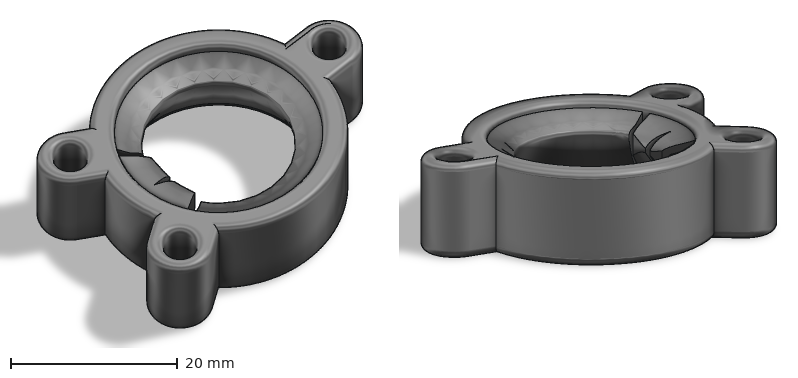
import cadquery as cq
import math

HEIGHT = 12.0
RING_DIAMETER = 31.0
BORE_RADIUS = 12.5

LUG_RADIUS = 4.0
EYE_DIAMETER = 4.0
TOP_EYE_Y = 18.53
LOWER_EYE_X = 9.4
LOWER_EYE_Y = -15.65
LOWER_LUG_TILT = 32.2
LUGS = [
    (0, TOP_EYE_Y, 90),
    (LOWER_EYE_X, LOWER_EYE_Y, LOWER_LUG_TILT - 90),
    (-LOWER_EYE_X, LOWER_EYE_Y, -LOWER_LUG_TILT - 90),
]
LUG_ROOT_LENGTH = 10.55

EYE_RIM_FLAT = 0.005
EDGE_ROUND = (LUG_RADIUS - EYE_DIAMETER / 2 - EYE_RIM_FLAT) / 2

SEAT_BOTTOM = EDGE_ROUND
SEAT_TOP = HEIGHT - EDGE_ROUND

LIP_NOSE_RADIUS = 9.2
LIP_NOSE_HEIGHT = 8.8
LIP_CREST_RADIUS = 9.45
LIP_CREST_HEIGHT = 9.33
LIP_KNEE_RADIUS = 10.35
LIP_KNEE_HEIGHT = 9.65
LIP_CHIN_RADIUS = 9.3
LIP_CHIN_HEIGHT = 8.15
LIP_FLARE_RADIUS = 9.8
LIP_FLARE_HEIGHT = 6.4
LIP_SKIRT_RADIUS = 11.05
LIP_SKIRT_HEIGHT = 3.7

TAB_KNEE_RADIUS = 10.8
TAB_KNEE_HEIGHT = 10.45
TAB_SHOULDER_RADIUS = 8.55
TAB_SHOULDER_HEIGHT = 9.6
TAB_NOSE_RADIUS = 7.6
TAB_NOSE_TOP = 8.5
TAB_NOSE_BOTTOM = 8.15
TAB_EDGE_Y = -7.65

NOTCH_WIDTH = 1.15
NOTCH_APEX_Y = -10.7

SLOT_WIDTH = 1.0
SLOT_TILT = 32.2
SLOT_START_X = 4.35
WEDGE_LENGTH = 25.3


def lug_plate(eye_x, eye_y, direction):
    """A round-ended lug that runs from its eye back into the ring."""
    root = (
        cq.Workplane("XY")
        .box(LUG_ROOT_LENGTH, 2 * LUG_RADIUS, HEIGHT, centered=(False, True, False))
        .translate((-LUG_ROOT_LENGTH, 0, 0))
    )
    end = cq.Workplane("XY").circle(LUG_RADIUS).extrude(HEIGHT)
    return root.union(end).rotate((0, 0, 0), (0, 0, 1), direction).translate((eye_x, eye_y, 0))


def make_housing():
    """The ring with its three lugs, every top and bottom edge rounded."""
    body = cq.Workplane("XY").circle(RING_DIAMETER / 2).extrude(HEIGHT)
    for eye_x, eye_y, direction in LUGS:
        body = body.union(lug_plate(eye_x, eye_y, direction))
    body = body.cut(cq.Workplane("XY").circle(BORE_RADIUS).extrude(HEIGHT))
    body = body.faces("<Z or >Z").edges().fillet(EDGE_ROUND)
    for eye_x, eye_y, _ in LUGS:
        eye = cq.Workplane("XY").center(eye_x, eye_y).circle(EYE_DIAMETER / 2).extrude(HEIGHT)
        body = body.cut(eye)
    rims = cq.selectors.RadiusNthSelector(0)
    return body.faces("<Z or >Z").edges(rims).fillet(EDGE_ROUND)


def slot_wedge(half_gap):
    """The wedge-shaped prism between the slot middles, grown sideways by half_gap at each slot."""
    tilt = math.radians(SLOT_TILT)
    start_x = SLOT_START_X + half_gap / math.cos(tilt)
    apex_y = TAB_EDGE_Y + start_x / math.tan(tilt)
    end_x = WEDGE_LENGTH * math.sin(tilt)
    end_y = apex_y - WEDGE_LENGTH * math.cos(tilt)
    corners = [(0, apex_y), (end_x, end_y), (-end_x, end_y)]
    return cq.Workplane("XY").polyline(corners).close().extrude(HEIGHT)


def make_lip():
    """The large seal: a revolved lip, parted by the gap that holds the tab and both slots."""
    section_points = [
        (LIP_KNEE_RADIUS, LIP_KNEE_HEIGHT),
        (LIP_CREST_RADIUS, LIP_CREST_HEIGHT),
        (LIP_NOSE_RADIUS, LIP_NOSE_HEIGHT),
        (LIP_CHIN_RADIUS, LIP_CHIN_HEIGHT),
        (LIP_FLARE_RADIUS, LIP_FLARE_HEIGHT),
        (LIP_SKIRT_RADIUS, LIP_SKIRT_HEIGHT),
        (BORE_RADIUS, SEAT_BOTTOM),
    ]
    top_slope = (LIP_KNEE_RADIUS - BORE_RADIUS, LIP_KNEE_HEIGHT - SEAT_TOP)
    skirt_slope = (BORE_RADIUS - LIP_SKIRT_RADIUS, SEAT_BOTTOM - LIP_SKIRT_HEIGHT)
    lip_ring = (
        cq.Workplane("XZ")
        .moveTo(BORE_RADIUS, SEAT_BOTTOM)
        .lineTo(BORE_RADIUS, SEAT_TOP)
        .spline(section_points, tangents=[top_slope, skirt_slope], includeCurrent=True)
        .close()
        .revolve(360, (0, 0), (0, 1))
    )
    return lip_ring.cut(slot_wedge(SLOT_WIDTH / 2))


def make_tab():
    """The small seal piece: a domed sector with a straight inner edge and a V notch."""
    dome_points = [
        (TAB_KNEE_RADIUS, TAB_KNEE_HEIGHT),
        (TAB_SHOULDER_RADIUS, TAB_SHOULDER_HEIGHT),
        (TAB_NOSE_RADIUS, TAB_NOSE_TOP),
    ]
    dome = (
        cq.Workplane("XZ")
        .moveTo(BORE_RADIUS, SEAT_BOTTOM)
        .lineTo(BORE_RADIUS, SEAT_TOP)
        .spline(dome_points, includeCurrent=True)
        .lineTo(TAB_NOSE_RADIUS, TAB_NOSE_BOTTOM)
        .close()
        .revolve(360, (0, 0), (0, 1))
    )
    outer_side = (
        cq.Workplane("XY")
        .box(2 * BORE_RADIUS, BORE_RADIUS, HEIGHT, centered=(True, False, False))
        .translate((0, TAB_EDGE_Y - BORE_RADIUS, 0))
    )
    notch_corners = [(-NOTCH_WIDTH / 2, TAB_EDGE_Y), (NOTCH_WIDTH / 2, TAB_EDGE_Y), (0, NOTCH_APEX_Y)]
    notch = cq.Workplane("XY").polyline(notch_corners).close().extrude(HEIGHT)
    sector = slot_wedge(-SLOT_WIDTH / 2).intersect(outer_side)
    return dome.intersect(sector).cut(notch)


housing = make_housing()
lip = make_lip()
tab = make_tab()
result = cq.Compound.makeCompound([housing.val(), lip.val(), tab.val()])